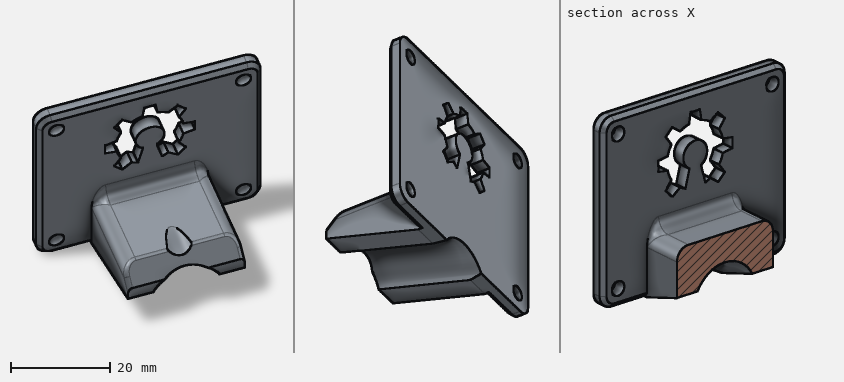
import cadquery as cq
import math

PLATE_WIDTH = 48.0
PLATE_HEIGHT = 42.0
PLATE_THICKNESS = 3.0
PLATE_CORNER_RADIUS = 3.0
PLATE_CHAMFER = 1.0
HOLE_DIAMETER = 3.2
HOLE_INSET = 4.0

SHELF_WIDTH = 25.0
SHELF_REACH = 22.0
SHELF_TOP = 14.0
TIP_BOTTOM = 7.0
TIP_BEVEL = 4.0
SHELF_EDGE_RADIUS = 3.0
BEVEL_EDGE_RADIUS = 1.0
TIP_X = PLATE_THICKNESS + SHELF_REACH
BEVEL_START_X = TIP_X - TIP_BEVEL

GROOVE_RADIUS = 8.0
GROOVE_CREST_AT_FRONT = 3.4
GROOVE_ANGLE = 18.0

NOTCH_RADIUS = 4.0
NOTCH_START_X = 15.4
NOTCH_ANGLE = 10.3

GEAR_CENTER_Z = 28.0
TOOTH_POSITIONS = 8
GEAR_ROOT_RADIUS = 7.3
TOOTH_ROOT_DISTANCE = 7.1
TOOTH_TIP_DISTANCE = 9.6
TOOTH_TIP_WIDTH = 2.4
TOOTH_ROOT_WIDTH = 3.2
TONGUE_HEAD_RADIUS = 3.1
TONGUE_NECK_WIDTH = 3.0
TONGUE_NECK_DROP = 2.65
TONGUE_BASE_WIDTH = 5.4


def make_plate():
    """Rounded plate with its back edge chamfered."""
    return (
        cq.Workplane("YZ")
        .center(0, PLATE_HEIGHT / 2)
        .rect(PLATE_WIDTH, PLATE_HEIGHT)
        .extrude(PLATE_THICKNESS)
        .edges("|X")
        .fillet(PLATE_CORNER_RADIUS)
        .faces(">X")
        .chamfer(PLATE_CHAMFER)
    )


def make_shelf():
    """Wedge-shaped shelf with a beveled tip, running through the plate to its front face."""
    return (
        cq.Workplane("XZ")
        .polyline(
            [
                (0, 0),
                (PLATE_THICKNESS, 0),
                (TIP_X, TIP_BOTTOM),
                (TIP_X, SHELF_TOP - TIP_BEVEL),
                (BEVEL_START_X, SHELF_TOP),
                (0, SHELF_TOP),
            ]
        )
        .close()
        .extrude(SHELF_WIDTH / 2, both=True)
    )


def round_shelf(body):
    """Round the shelf's top edges, its root against the plate and the outline of its bevel."""
    middle_x = (PLATE_THICKNESS + BEVEL_START_X) / 2
    half_width = SHELF_WIDTH / 2
    sides = [cq.NearestToPointSelector((middle_x, y, SHELF_TOP)) for y in (-half_width, half_width)]
    root = cq.NearestToPointSelector((PLATE_THICKNESS, 0, SHELF_TOP))
    body = body.edges(sides[0] + sides[1] + root).fillet(SHELF_EDGE_RADIUS)
    return body.edges(cq.NearestToPointSelector((BEVEL_START_X, 0, SHELF_TOP))).fillet(BEVEL_EDGE_RADIUS)


def sloping_cylinder(radius, length, line_start, offset, angle):
    """Cylinder climbing along +X by the angle, its axis offset square to a line from line_start."""
    cosine = math.cos(math.radians(angle))
    sine = math.sin(math.radians(angle))
    direction = cq.Vector(cosine, 0, sine)
    normal = cq.Vector(-sine, 0, cosine)
    return cq.Workplane(cq.Solid.makeCylinder(radius, length, line_start + normal * offset, direction))


def make_groove():
    """Cutter whose crest line starts ahead of the plate and runs out past the shelf tip."""
    lead_in = GROOVE_RADIUS
    crest_z = GROOVE_CREST_AT_FRONT - lead_in * math.tan(math.radians(GROOVE_ANGLE))
    crest_start = cq.Vector(-lead_in, 0, crest_z)
    return sloping_cylinder(GROOVE_RADIUS, 2 * TIP_X, crest_start, -GROOVE_RADIUS, GROOVE_ANGLE)


def make_notch():
    """Cutter whose lowest line enters the shelf top and comes out through the tip bevel."""
    entry = cq.Vector(NOTCH_START_X, 0, SHELF_TOP)
    return sloping_cylinder(NOTCH_RADIUS, TIP_X, entry, NOTCH_RADIUS, -NOTCH_ANGLE)


def make_trapezoid(plane, near_width, near_height, far_width, far_height):
    """Trapezoid symmetric about the local vertical, extruded through the plate."""
    return (
        plane.polyline(
            [
                (near_width / 2, near_height),
                (far_width / 2, far_height),
                (-far_width / 2, far_height),
                (-near_width / 2, near_height),
            ]
        )
        .close()
        .extrude(PLATE_THICKNESS)
    )


def make_gear_window():
    """Toothed opening with the tongue left out, as a cutter through the plate."""
    plane = cq.Workplane("YZ", origin=(0, 0, GEAR_CENTER_Z))
    gear = plane.circle(GEAR_ROOT_RADIUS).extrude(PLATE_THICKNESS)
    tooth = make_trapezoid(
        plane, TOOTH_ROOT_WIDTH, TOOTH_ROOT_DISTANCE, TOOTH_TIP_WIDTH, TOOTH_TIP_DISTANCE
    )
    axis_start = (0, 0, GEAR_CENTER_Z)
    axis_end = (1, 0, GEAR_CENTER_Z)
    for position in range(TOOTH_POSITIONS):
        if position != TOOTH_POSITIONS // 2:
            gear = gear.union(tooth.rotate(axis_start, axis_end, position * 360 / TOOTH_POSITIONS))
    head = plane.circle(TONGUE_HEAD_RADIUS).extrude(PLATE_THICKNESS)
    stem = make_trapezoid(
        plane, TONGUE_NECK_WIDTH, -TONGUE_NECK_DROP, TONGUE_BASE_WIDTH, -GEAR_ROOT_RADIUS
    )
    return gear.cut(head).cut(stem)


def make_holes():
    """Cutters for the four mounting holes near the plate corners."""
    return (
        cq.Workplane("YZ", origin=(0, 0, PLATE_HEIGHT / 2))
        .rect(PLATE_WIDTH - 2 * HOLE_INSET, PLATE_HEIGHT - 2 * HOLE_INSET, forConstruction=True)
        .vertices()
        .circle(HOLE_DIAMETER / 2)
        .extrude(PLATE_THICKNESS)
    )


body = round_shelf(make_plate().union(make_shelf()))
result = body.cut(make_groove()).cut(make_notch()).cut(make_gear_window()).cut(make_holes())